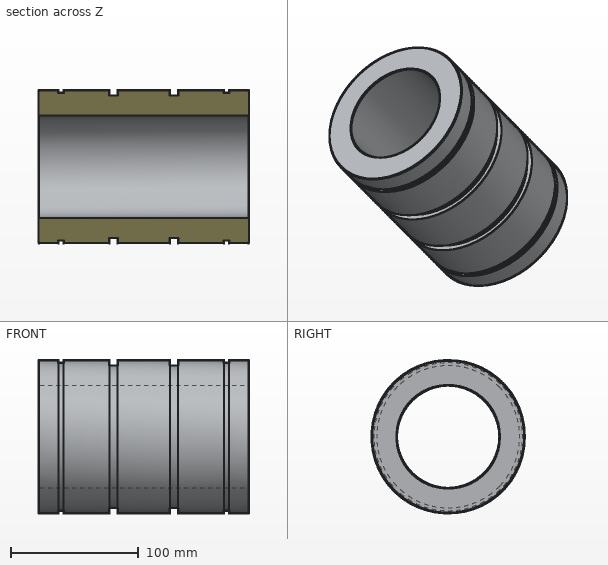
import cadquery as cq

length = 165.0
outer_diameter = 120.0
bore_diameter = 80.0
edge_chamfer = 0.5

ring_groove_diameter = 116.1
ring_groove_width = 4.15
ring_groove_outer_span = 133.7
ring_groove_spacing = ring_groove_outer_span - ring_groove_width

deep_groove_diameter = 111.7
deep_groove_width = 6.5
deep_groove_spacing = 47.3


def cylinder_along_x(diameter, width, center_x=0.0):
    """Solid cylinder on the X axis, centred at center_x."""
    start = cq.Workplane("YZ", origin=(center_x - width / 2, 0, 0))
    return start.circle(diameter / 2).extrude(width)


def sleeve():
    """Plain tube with every end edge chamfered, outside and in the bore."""
    tube = cylinder_along_x(outer_diameter, length).cut(cylinder_along_x(bore_diameter, length))
    return tube.faces("<X or >X").edges().chamfer(edge_chamfer)


def cut_groove_pair(body, floor_diameter, width, spacing):
    """Cut two square grooves, symmetric about the middle of the sleeve."""
    for side in (-1, 1):
        center_x = side * spacing / 2
        groove = cylinder_along_x(outer_diameter, width, center_x)
        groove = groove.cut(cylinder_along_x(floor_diameter, width, center_x))
        body = body.cut(groove)
    return body


result = sleeve()
result = cut_groove_pair(result, ring_groove_diameter, ring_groove_width, ring_groove_spacing)
result = cut_groove_pair(result, deep_groove_diameter, deep_groove_width, deep_groove_spacing)